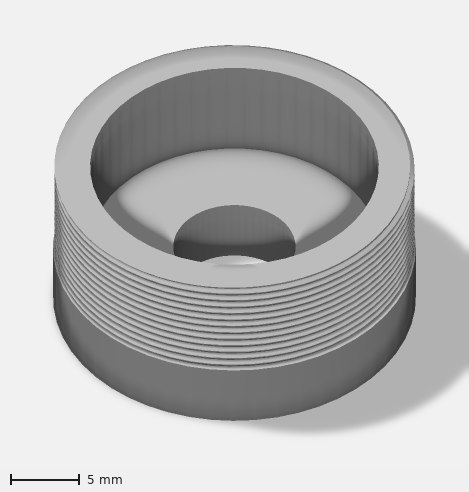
import cadquery as cq
import math

collar_diameter = 26.4
collar_height = 5.0
thread_length = 8.0
total_height = collar_height + thread_length

pocket_diameter = 21.0
pocket_depth = 8.0
hole_diameter = 8.9

thread_major_diameter = 26.2
thread_root_diameter = 25.57
thread_pitch = 0.64
thread_flank_angle = 30.0
thread_crest_width = thread_pitch / 8
first_crest_height = 0.52
ridge_root_overlap = 0.1
ridge_overrun_turns = 2
core_overrun_turns = ridge_overrun_turns + 2


def cylinder(diameter, bottom, height):
    return cq.Workplane("XY").workplane(offset=bottom).circle(diameter / 2).extrude(height)


def make_thread_ridge():
    """Helical ridge that overruns both ends of the threaded length."""
    start = collar_height + first_crest_height - ridge_overrun_turns * thread_pitch
    turns = math.ceil(thread_length / thread_pitch) + 2 * ridge_overrun_turns
    crest_radius = thread_major_diameter / 2
    inner_radius = thread_root_diameter / 2 - ridge_root_overlap
    half_crest = thread_crest_width / 2
    half_base = half_crest + (crest_radius - inner_radius) * math.tan(math.radians(thread_flank_angle))

    path = cq.Wire.makeHelix(thread_pitch, turns * thread_pitch, inner_radius)
    profile = (
        cq.Workplane("XZ")
        .moveTo(inner_radius, -half_base)
        .lineTo(crest_radius, -half_crest)
        .lineTo(crest_radius, half_crest)
        .lineTo(inner_radius, half_base)
        .close()
    )
    return profile.sweep(cq.Workplane(path), isFrenet=True).translate((0, 0, start))


def make_threaded_section():
    """Threaded core, built longer than needed so that both ends of the ridge are trimmed flush."""
    overrun = core_overrun_turns * thread_pitch
    core = cylinder(thread_root_diameter, collar_height - overrun, thread_length + 2 * overrun)
    trim = cylinder(collar_diameter, collar_height, thread_length)
    return core.union(make_thread_ridge()).intersect(trim)


def make_body():
    collar = cylinder(collar_diameter, 0, collar_height)
    return collar.union(make_threaded_section())


def cut_bore(body):
    pocket = cylinder(pocket_diameter, total_height - pocket_depth, pocket_depth)
    hole = cylinder(hole_diameter, 0, total_height)
    return body.cut(pocket).cut(hole)


result = cut_bore(make_body())